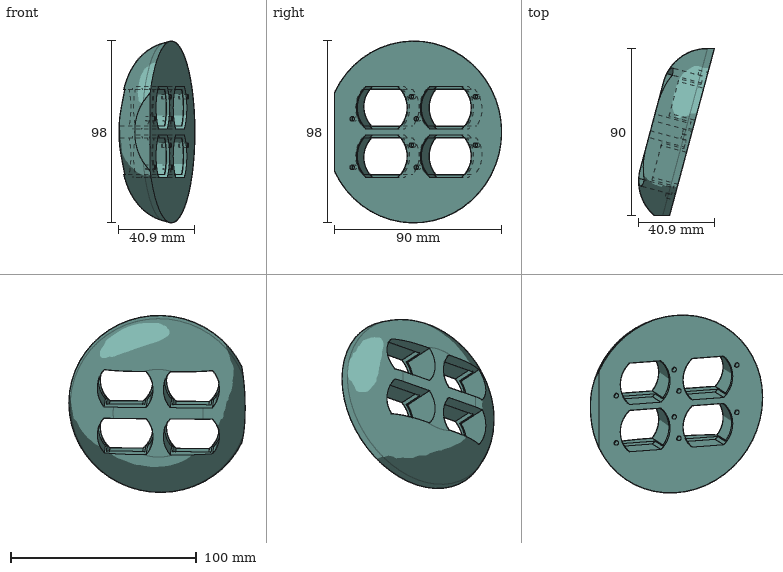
import cadquery as cq
import math

base_radius = 49.0
thickness = 21.8
tilt = 15.0
rim_taper = 15.0
blend_radius = 24.6
end_flat_y = -42.7

column_pitch = 35.65
row_pitch = 26.1
opening_diameter = 30.1
opening_height = 19.8

recess_width = 28.2
recess_height = 22.7
recess_depth = 14.2
lip_depth = 2.0

screw_diameter = 2.4
screw_depth = 4.9
screw_offset_across = 16.5
screw_offset_up = 6.0

tilt_angle = math.radians(tilt)
base_plane = cq.Plane(
    origin=(0, 0, 0),
    xDir=(-math.sin(tilt_angle), -math.cos(tilt_angle), 0),
    normal=(-math.cos(tilt_angle), math.sin(tilt_angle), 0),
)
opening_centres = [
    (column * column_pitch / 2, row * row_pitch / 2)
    for column in (-1, 1)
    for row in (-1, 1)
]


def make_dome():
    """Revolve the half profile about the local Z axis."""
    taper = math.radians(rim_taper)
    blend_centre_height = thickness - blend_radius
    rim_height = thickness - blend_radius * (1 - math.sin(taper))
    rim_radius = base_radius - rim_height * math.tan(taper)
    flat_radius = rim_radius - blend_radius * math.cos(taper)
    middle = (math.pi / 2 + taper) / 2
    blend_middle = (
        flat_radius + blend_radius * math.cos(middle),
        blend_centre_height + blend_radius * math.sin(middle),
    )
    return (
        cq.Workplane("XZ")
        .lineTo(base_radius, 0)
        .lineTo(rim_radius, rim_height)
        .threePointArc(blend_middle, (flat_radius, thickness))
        .lineTo(0, thickness)
        .close()
        .revolve(360, (0, 0), (0, 1))
    )


def make_openings():
    """Cylinders trimmed by flats, running from the lip out through the flat top."""
    opening = (
        cq.Workplane(origin=(0, 0, lip_depth))
        .circle(opening_diameter / 2)
        .extrude(thickness - lip_depth)
        .intersect(cq.Workplane().box(opening_diameter, opening_height, 2 * thickness))
    )
    return cq.Workplane().pushPoints(opening_centres).eachpoint(opening.val())


def make_recesses():
    """Pockets with straight top and bottom, and sides bowed like those of the openings."""
    bow_radius = opening_diameter / 2
    corner_y = recess_height / 2
    side_x = recess_width / 2
    corner_x = side_x - bow_radius + math.sqrt(bow_radius**2 - corner_y**2)
    recess = (
        cq.Workplane()
        .moveTo(-corner_x, -corner_y)
        .lineTo(corner_x, -corner_y)
        .threePointArc((side_x, 0), (corner_x, corner_y))
        .lineTo(-corner_x, corner_y)
        .threePointArc((-side_x, 0), (-corner_x, -corner_y))
        .close()
        .extrude(recess_depth)
    )
    return cq.Workplane().pushPoints(opening_centres).eachpoint(recess.val())


def make_screw_holes():
    """Blind holes on opposite corners of every opening."""
    centres = [
        (x - side * screw_offset_across, y + side * screw_offset_up)
        for x, y in opening_centres
        for side in (-1, 1)
    ]
    return cq.Workplane().pushPoints(centres).circle(screw_diameter / 2).extrude(screw_depth)


def trim_end(body):
    """Keep the material on the +Y side of the end flat."""
    keep_size = 4 * base_radius
    keep = cq.Workplane().box(keep_size, keep_size, keep_size, centered=(True, False, True))
    return body.intersect(keep.translate((0, end_flat_y, 0)))


dome = make_dome()
dome = dome.cut(make_openings())
dome = dome.cut(make_recesses())
dome = dome.cut(make_screw_holes())
tilted = cq.Workplane(dome.val().moved(cq.Location(base_plane)))
result = trim_end(tilted)